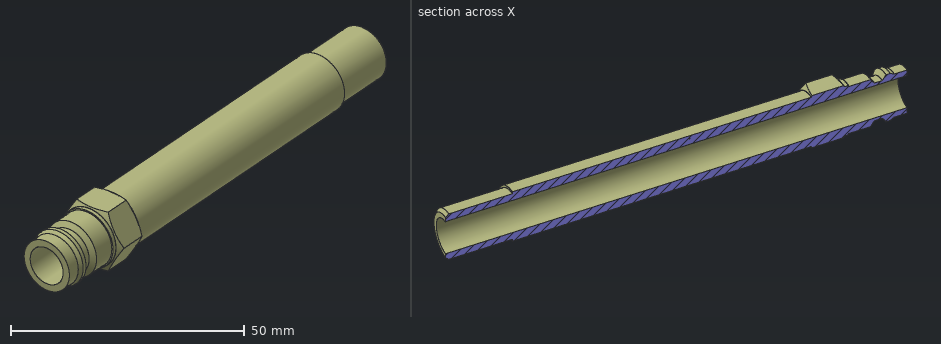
import cadquery as cq
import math

total_length = 110.0
tip_end = 3.1
collar_start = 4.1
collar_end = 5.1
groove_start = 5.9
groove_end = 7.8
body_start = 8.7
body_end = 14.0
hex_start = 15.0
hex_end = 22.9
spigot_length = 16.0
spigot_chamfer = 0.8

bore_diameter = 9.0
tip_diameter = 12.4
body_diameter = 13.5
groove_diameter = 10.9
rod_diameter = 14.2
spigot_diameter = 13.1

hex_across_flats = 15.0
hex_chamfer_angle = 30.0
hex_face_diameter = 14.3


def revolve_about_y(points):
    """Revolve a closed (radius, distance) outline about the Y axis."""
    return cq.Workplane("XY").polyline(points).close().revolve(360, (0, 0, 0), (0, 1, 0))


def make_turned_body():
    tip_radius = tip_diameter / 2
    body_radius = body_diameter / 2
    groove_radius = groove_diameter / 2
    rod_radius = rod_diameter / 2
    spigot_radius = spigot_diameter / 2
    spigot_start = total_length - spigot_length
    return revolve_about_y([
        (0, 0),
        (tip_radius, 0),
        (tip_radius, tip_end),
        (body_radius, collar_start),
        (body_radius, collar_end),
        (groove_radius, groove_start),
        (groove_radius, groove_end),
        (body_radius, body_start),
        (body_radius, body_end),
        (rod_radius, body_end),
        (rod_radius, spigot_start),
        (spigot_radius, spigot_start),
        (spigot_radius, total_length - spigot_chamfer),
        (spigot_radius - spigot_chamfer, total_length),
        (0, total_length),
    ])


def make_hexagon():
    """Hexagonal wrench section with its corners turned down by a cone at each end."""
    corner_diameter = hex_across_flats / math.cos(math.radians(30))
    corner_radius = corner_diameter / 2
    face_radius = hex_face_diameter / 2
    chamfer_length = (corner_radius - face_radius) * math.tan(math.radians(hex_chamfer_angle))
    prism = (
        cq.Workplane("XZ", origin=(0, hex_start, 0))
        .polygon(6, corner_diameter)
        .extrude(hex_start - hex_end)
    )
    chamfer_envelope = revolve_about_y([
        (0, hex_start),
        (face_radius, hex_start),
        (corner_radius, hex_start + chamfer_length),
        (corner_radius, hex_end - chamfer_length),
        (face_radius, hex_end),
        (0, hex_end),
    ])
    return prism.intersect(chamfer_envelope)


def make_bore():
    return cq.Workplane("XZ").circle(bore_diameter / 2).extrude(-total_length)


result = make_turned_body().union(make_hexagon()).cut(make_bore())